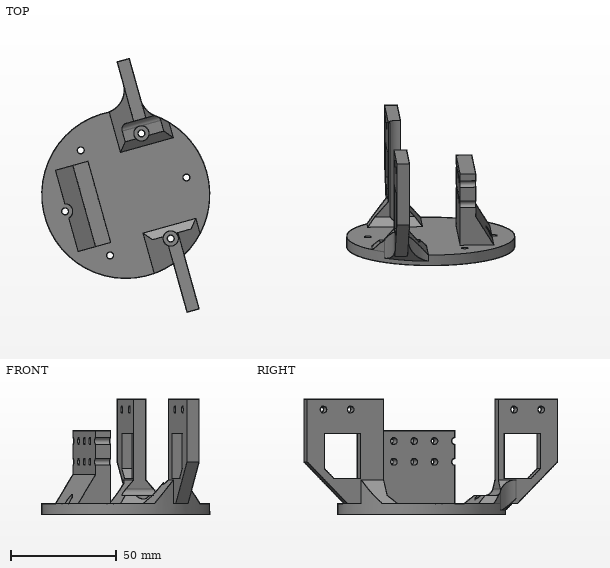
import cadquery as cq
import math

turn_angle = 15.6

plate_radius = 40.0
plate_height = 5.2
screw_circle_radius = 30.0
screw_count = 6
hole_diameter = 3.1
screw_head_diameter = 7.3

block_inner_x = -13.0
block_wall_x = -20.5
block_foot_x = -29.1
block_half_length = 20.1
block_fold_z = 19.1
block_top_z = 40.0
block_hole_pitch = 10.0
block_hole_rows = (25.1, 35.0)

arm_x = 12.99
arm_thickness = 6.0
arm_mid_x = arm_x + arm_thickness / 2
arm_outer_y = 61.9
arm_top_z = 55.0
arm_slope_run = 20.0
arm_slope_z = plate_height + arm_slope_run
arm_hole_z = 50.0
arm_hole_ys = (40.4, 53.8)
front_arm_inner_y = 24.2
back_arm_inner_y = 32.5

window_inner_y = 35.5
window_outer_y = 53.3
window_bottom_z = 17.3
window_top_z = 38.5
window_corner = 4.6

foot_half_width = 13.0
foot_inner_y = 20.0
foot_ridge_z = 16.5
foot_step_z = 9.2
foot_step_y = 24.2
step_fillet = 3.0
flare_radius = 11.0
flare_rim_z = 2.2

reach = 120.8


def extrude_along_x(points, x_start, length):
    """Prism with a (y, z) outline, running from x_start toward +X."""
    return cq.Workplane("YZ").workplane(offset=x_start).polyline(points).close().extrude(length)


def cross_holes(points):
    """Round holes running along X through the given (y, z) points."""
    cutter = cq.Workplane("YZ").workplane(offset=-reach / 2)
    return cutter.pushPoints(points).circle(hole_diameter / 2).extrude(reach)


def make_block():
    outline = [
        (block_foot_x, plate_height),
        (block_inner_x, plate_height),
        (block_inner_x, block_top_z),
        (block_wall_x, block_top_z),
        (block_wall_x, block_fold_z),
    ]
    block = cq.Workplane("XZ").polyline(outline).close().extrude(block_half_length, both=True)
    holes = [(i * block_hole_pitch, z) for i in range(-2, 3) for z in block_hole_rows]
    return block.cut(cross_holes(holes))


def make_arm(inner_y):
    outline = [
        (inner_y, plate_height),
        (arm_outer_y - arm_slope_run, plate_height),
        (arm_outer_y, arm_slope_z),
        (arm_outer_y, arm_top_z),
        (inner_y, arm_top_z),
    ]
    window = [
        (window_inner_y, window_bottom_z),
        (window_outer_y - window_corner, window_bottom_z),
        (window_outer_y, window_bottom_z + window_corner),
        (window_outer_y, window_top_z),
        (window_inner_y, window_top_z),
    ]
    arm = extrude_along_x(outline, arm_x, arm_thickness)
    arm = arm.cut(extrude_along_x(window, 0, reach))
    return arm.cut(cross_holes([(y, arm_hole_z) for y in arm_hole_ys]))


def make_ridge():
    """Roof-shaped foot, sloping from the plate up to both faces of the arm."""
    left_x = arm_mid_x - foot_half_width
    right_x = arm_mid_x + foot_half_width
    section = [
        (left_x, 0),
        (right_x, 0),
        (right_x, plate_height),
        (arm_x + arm_thickness, foot_ridge_z),
        (arm_x, foot_ridge_z),
        (left_x, plate_height),
    ]
    length = arm_outer_y - foot_inner_y
    return cq.Workplane("XZ", origin=(0, foot_inner_y, 0)).polyline(section).close().extrude(-length)


def inner_slope_outline():
    """Start of the foot's (y, z) outline: up the inner slope to the step."""
    start = cq.Workplane("YZ").moveTo(foot_inner_y, 0).lineTo(foot_inner_y, plate_height)
    return start.lineTo(foot_step_y, foot_step_z)


def make_front_foot():
    """Foot that stops at the plate's edge, with a vertical inner end above the step."""
    outline = inner_slope_outline().lineTo(foot_step_y, foot_ridge_z)
    profile = outline.lineTo(arm_outer_y, foot_ridge_z).lineTo(arm_outer_y, 0).close().extrude(reach)
    inside_plate = cq.Workplane("XY").circle(plate_radius).extrude(reach)
    return make_ridge().intersect(profile).intersect(inside_plate)


def flare_points(face_x, side):
    """Where the flare arc meets the arm face and the plate edge, and its middle."""
    center_distance = plate_radius + flare_radius
    center_x = face_x + side * flare_radius
    center_y = math.sqrt(center_distance**2 - center_x**2)
    on_arm = (face_x, center_y)
    on_plate = (center_x * plate_radius / center_distance, center_y * plate_radius / center_distance)
    toward_arm = math.pi / 2 * (1 + side)
    toward_plate = math.atan2(-center_y, -center_x) % (2 * math.pi)
    if side < 0:
        toward_plate -= 2 * math.pi
    middle_angle = (toward_arm + toward_plate) / 2
    middle = (
        center_x + flare_radius * math.cos(middle_angle),
        center_y + flare_radius * math.sin(middle_angle),
    )
    return on_arm, middle, on_plate


def make_flare_underside():
    """Space above the 45 degree cone that rises outward from the plate's side."""
    cone_base_radius = plate_radius - flare_rim_z
    outline = [
        (0, 0),
        (cone_base_radius, 0),
        (cone_base_radius + foot_ridge_z, foot_ridge_z),
        (0, foot_ridge_z),
    ]
    return cq.Workplane("XZ").polyline(outline).close().revolve(360, (0, 0, 0), (0, 1, 0))


def make_back_foot():
    """Foot that flares past the plate's edge in two arcs, with a filleted step."""
    left_arm, left_middle, left_plate = flare_points(arm_x, -1)
    right_arm, right_middle, right_plate = flare_points(arm_x + arm_thickness, 1)
    flare = (
        cq.Workplane("XY")
        .lineTo(*left_plate)
        .threePointArc(left_middle, left_arm)
        .lineTo(*right_arm)
        .threePointArc(right_middle, right_plate)
        .close()
        .extrude(reach)
    )
    plan = flare.union(cq.Workplane("XY").circle(plate_radius).extrude(reach))
    bend = step_fillet * (1 - math.sqrt(0.5))
    profile = (
        inner_slope_outline()
        .lineTo(back_arm_inner_y - step_fillet, foot_step_z)
        .threePointArc(
            (back_arm_inner_y - bend, foot_step_z + bend),
            (back_arm_inner_y, foot_step_z + step_fillet),
        )
        .lineTo(back_arm_inner_y, foot_ridge_z)
        .lineTo(arm_outer_y, foot_ridge_z)
        .lineTo(arm_outer_y, 0)
        .close()
        .extrude(reach)
    )
    return make_ridge().intersect(profile).intersect(plan).intersect(make_flare_underside())


def screw_cutter():
    """Plate holes with clearance above the plate for the screw heads."""
    places = cq.Workplane("XY").polarArray(screw_circle_radius, 0, 360, screw_count)
    holes = places.circle(hole_diameter / 2).extrude(plate_height)
    places = cq.Workplane("XY", origin=(0, 0, plate_height))
    places = places.polarArray(screw_circle_radius, 0, 360, screw_count)
    heads = places.circle(screw_head_diameter / 2).extrude(reach)
    return holes.union(heads)


front_arm = make_arm(front_arm_inner_y).union(make_front_foot()).mirror("XZ")
back_arm = make_arm(back_arm_inner_y).union(make_back_foot())

plate = cq.Workplane("XY").circle(plate_radius).extrude(plate_height)
body = plate.union(make_block()).union(front_arm).union(back_arm)
body = body.cut(screw_cutter())
result = body.rotate((0, 0, 0), (0, 0, 1), turn_angle)